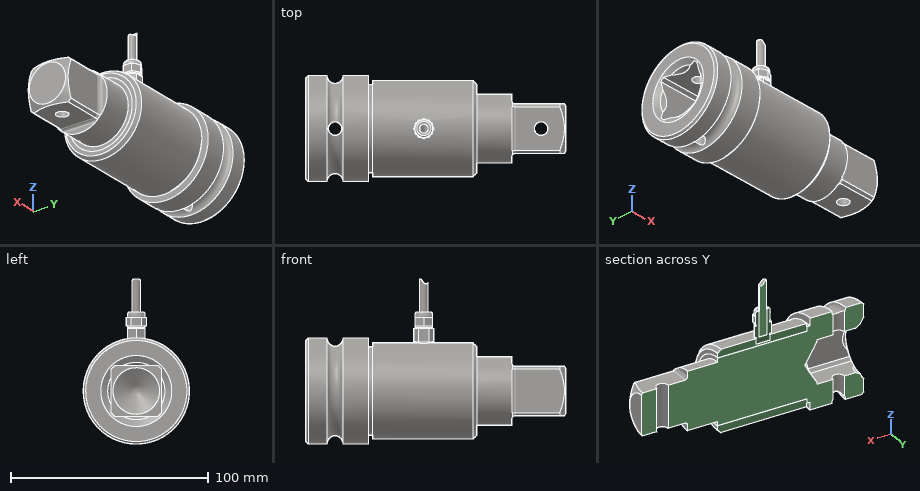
import cadquery as cq
import math

overall_length = 132.0
overall_height = 83.8

flange_diameter = 54.0
flange_length = 32.0
flange_chamfer = 1.3
groove_center = 14.9
groove_diameter = 8.0
pin_hole_diameter = 6.7

neck_diameter = 45.0
seat_diameter = 40.0
output_diameter = 35.0
shoulder_x = 104.7

sleeve_diameter = 49.0
sleeve_start = 33.9
sleeve_end = 86.9
sleeve_chamfer = 2.0

socket_width = 25.7
socket_corner = 1.8
socket_depth = 27.7
mouth_diameter = 36.0
lead_in_diameter = 29.0
outer_lead_in_angle = 60.0
inner_lead_in_angle = 30.0
floor_cone_diameter = 23.6
floor_cone_angle = 59.0

drive_width = 25.3
drive_corner = 1.6
drive_root_fillet = 1.5
drive_end_diameter = 23.0
drive_end_angle = 30.0
drive_hole_x = 119.5

gland_x = 59.9
hex_width = 9.0
hex_corner_diameter = hex_width / math.cos(math.pi / 6)
stud_diameter = 8.0
stud_bottom = 21.3
hex_turn = 30.0
lower_hex_bottom = 25.0
lower_hex_top = 31.8
collar_bottom = 32.2
upper_hex_bottom = 33.0
upper_hex_top = 37.4
round_bottom = 38.5
gland_top = 40.1
rim_diameter = 7.1
funnel_depth = 0.3

cable_diameter = 4.5
cable_top = overall_height - flange_diameter / 2


def disc(diameter, bottom, top):
    """Upright cylinder on the gland axis."""
    return cq.Workplane("XY", origin=(gland_x, 0, bottom)).circle(diameter / 2).extrude(top - bottom)


def hexagon(bottom, top, turn):
    """Upright hexagonal prism on the gland axis; at zero turn two corners lie along X."""
    plane = cq.Workplane("XY", origin=(gland_x, 0, bottom)).transformed(rotate=(0, 0, turn))
    return plane.polygon(6, hex_corner_diameter).extrude(top - bottom)


def square_bar(width, corner, start, end):
    """Square bar along X with chamfered long edges."""
    bar = cq.Workplane("YZ", origin=(start, 0, 0)).rect(width, width).extrude(end - start)
    return bar.edges("|X").chamfer(corner)


def cross_hole(x):
    """Cutter for a pin hole that passes right through the shaft along Z."""
    length = 2 * flange_diameter
    return cq.Workplane("XY", origin=(x, 0, -length / 2)).circle(pin_hole_diameter / 2).extrude(length)


def turned(points):
    """Solid of revolution about X from a closed outline of (x, radius) points."""
    return cq.Workplane("XY").polyline(points).close().revolve(360, (0, 0, 0), (1, 0, 0))


def turned_shaft():
    """Flange, neck, sleeve seat and output step."""
    flange_radius = flange_diameter / 2
    steps = turned([
        (0, 0),
        (0, flange_radius - flange_chamfer),
        (flange_chamfer, flange_radius),
        (flange_length, flange_radius),
        (flange_length, neck_diameter / 2),
        (sleeve_start, neck_diameter / 2),
        (sleeve_start, seat_diameter / 2),
        (sleeve_end, seat_diameter / 2),
        (sleeve_end, output_diameter / 2),
        (shoulder_x, output_diameter / 2),
        (shoulder_x, 0),
    ])
    groove_section = cq.Workplane("XY").center(groove_center, flange_radius).circle(groove_diameter / 2)
    groove = groove_section.revolve(360, (-groove_center, -flange_radius), (1.3 - groove_center, -flange_radius))
    return steps.cut(groove)


def drive_square():
    """Drive square with a filleted root and a conical end."""
    root_length = 2.6
    plate = cq.Workplane("YZ", origin=(shoulder_x - root_length, 0, 0))
    plate = plate.rect(flange_diameter, flange_diameter).extrude(root_length)
    square = square_bar(drive_width, drive_corner, shoulder_x, overall_length)
    margin = 0.1
    reach = drive_width / 2 + margin
    root_edges = cq.selectors.BoxSelector(
        (shoulder_x - margin, -reach, -reach), (shoulder_x + margin, reach, reach))
    filleted = plate.union(square).edges(root_edges).fillet(drive_root_fillet)

    end_radius = drive_end_diameter / 2
    envelope_radius = output_diameter / 2
    end_length = (envelope_radius - end_radius) * math.tan(math.radians(drive_end_angle))
    envelope = turned([
        (shoulder_x - root_length, 0),
        (shoulder_x - root_length, envelope_radius),
        (overall_length - end_length, envelope_radius),
        (overall_length, end_radius),
        (overall_length, 0),
    ])
    return filleted.intersect(envelope)


def socket_cutter():
    """Square socket with a two-step conical mouth and a drill point in its floor."""
    square = square_bar(socket_width, socket_corner, 0, socket_depth)

    mouth_radius = mouth_diameter / 2
    lead_in_radius = lead_in_diameter / 2
    outer_length = (mouth_radius - lead_in_radius) / math.tan(math.radians(outer_lead_in_angle))
    inner_length = lead_in_radius / math.tan(math.radians(inner_lead_in_angle))
    mouth = turned([
        (0, 0),
        (0, mouth_radius),
        (outer_length, lead_in_radius),
        (outer_length + inner_length, 0),
    ])

    floor_radius = floor_cone_diameter / 2
    point_length = floor_radius / math.tan(math.radians(floor_cone_angle))
    point = turned([(socket_depth, 0), (socket_depth, floor_radius), (socket_depth + point_length, 0)])
    return square.union(mouth).union(point)


def make_shaft():
    """One-piece shaft from the socket to the drive square, with both pin holes."""
    shaft = turned_shaft().union(drive_square()).cut(socket_cutter())
    for x in (groove_center, drive_hole_x):
        shaft = shaft.cut(cross_hole(x))
    return shaft


def make_sleeve():
    """Plain bush with a blind seat for the gland stud."""
    length = sleeve_end - sleeve_start
    sleeve = cq.Workplane("YZ", origin=(sleeve_start, 0, 0)).circle(sleeve_diameter / 2).extrude(length)
    sleeve = sleeve.faces(">X").chamfer(sleeve_chamfer)
    bore = cq.Workplane("YZ", origin=(sleeve_start, 0, 0)).circle(seat_diameter / 2).extrude(length)
    return sleeve.cut(bore).cut(disc(stud_diameter, stud_bottom, sleeve_diameter))


def gland_cap():
    """Collar and rounded cap, with a funnel leading down to the cable."""
    outer_radius = hex_width / 2
    rim_radius = rim_diameter / 2
    cable_radius = cable_diameter / 2
    bend_x = rim_radius + (outer_radius - rim_radius) * math.cos(math.pi / 4)
    bend_z = round_bottom + (gland_top - round_bottom) * math.sin(math.pi / 4)
    return (
        cq.Workplane("XZ", origin=(gland_x, 0, 0))
        .moveTo(cable_radius, collar_bottom)
        .lineTo(outer_radius, collar_bottom)
        .lineTo(outer_radius, round_bottom)
        .threePointArc((bend_x, bend_z), (rim_radius, gland_top))
        .lineTo(cable_radius, gland_top - funnel_depth)
        .close()
        .revolve(360, (0, 0, 0), (0, 1, 0))
    )


def make_gland():
    """Two hexagons turned against each other on a stud, under a rounded cap."""
    gland = disc(stud_diameter, stud_bottom, upper_hex_bottom)
    gland = gland.union(hexagon(lower_hex_bottom, lower_hex_top, 0))
    gland = gland.union(hexagon(upper_hex_bottom, upper_hex_top, hex_turn)).union(gland_cap())
    return gland.cut(disc(cable_diameter, lower_hex_bottom, gland_top))


def make_cable():
    """Cable standing on the floor of the gland bore, with a wavy broken end."""
    radius = cable_diameter / 2
    broken_end = [
        (-1.5, cable_top - 0.1),
        (-0.4, cable_top - 1.5),
        (0.7, cable_top - 2.4),
        (radius, cable_top - 1.7),
    ]
    outline = (
        cq.Workplane("XZ", origin=(gland_x, radius, 0))
        .moveTo(-radius, lower_hex_bottom)
        .lineTo(-radius, cable_top)
        .spline(broken_end, includeCurrent=True)
        .lineTo(radius, lower_hex_bottom)
        .close()
        .extrude(cable_diameter)
    )
    return outline.intersect(disc(cable_diameter, lower_hex_bottom, cable_top))


shaft = make_shaft()
sleeve = make_sleeve()
gland = make_gland()
cable = make_cable()

result = cq.Compound.makeCompound([shaft.val(), sleeve.val(), gland.val(), cable.val()])